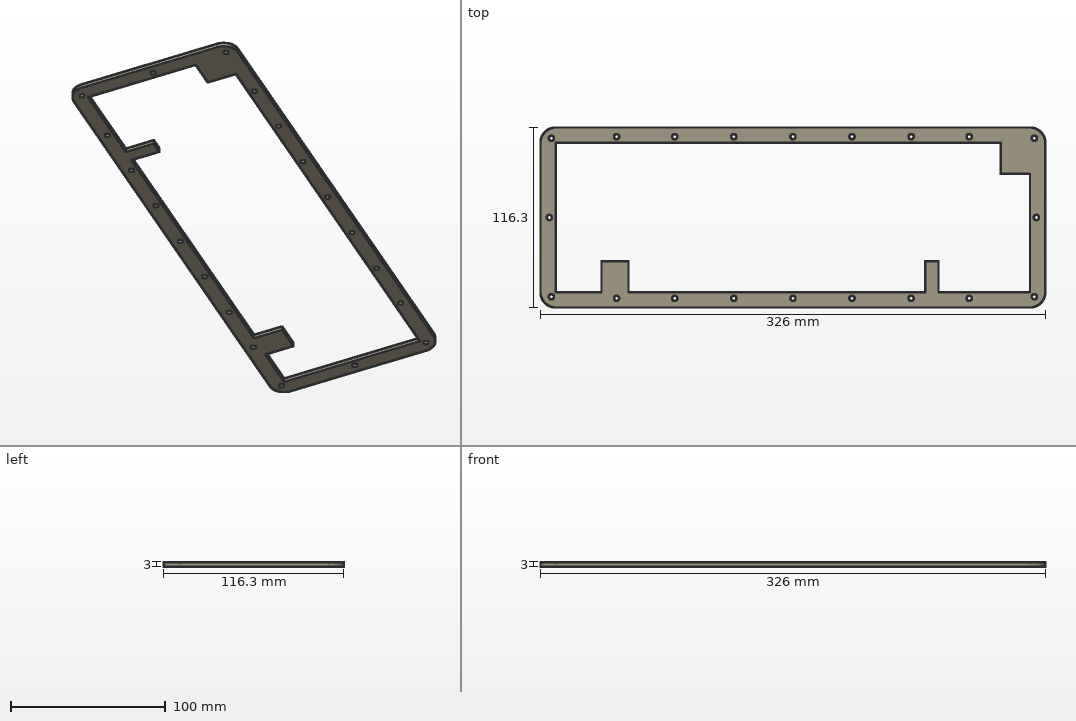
import cadquery as cq

length = 326.0
width = 116.3
thickness = 3.0
corner_radius = 10.0

rim = 10.0
window_length = length - 2 * rim
window_width = width - 2 * rim
tab_reach = 20.0
wide_tab_width = 17.5
wide_tab_x = -114.7
narrow_tab_width = 8.8
narrow_tab_x = 89.5
corner_pad_length = 19.0

hole_diameter = 3.3
long_side_hole_xs = (0.0, 38.0, 76.2, 113.7)
long_side_hole_y = 52.0
short_side_hole_x = 157.0
corner_hole_x = 155.8
corner_hole_y = 51.0


def block(x_min, y_min, x_size, y_size):
    """Full-thickness block placed by its lower-left corner."""
    return (
        cq.Workplane("XY")
        .box(x_size, y_size, thickness, centered=(False, False, True))
        .translate((x_min, y_min, 0))
    )


def frame():
    """Rounded plate with a sharp-cornered window."""
    plate = cq.Workplane("XY").box(length, width, thickness).edges("|Z").fillet(corner_radius)
    window = cq.Workplane("XY").box(window_length, window_width, thickness)
    return plate.cut(window)


def front_tab(center_x, tab_width):
    """Tab rising into the window; it overlaps the rim to join it."""
    overlap = rim / 2
    y_min = -window_width / 2 - overlap
    return block(center_x - tab_width / 2, y_min, tab_width, tab_reach + overlap)


def corner_pad():
    """Pad filling the +X +Y corner of the window, overlapping the rim."""
    overlap = rim / 2
    x_min = window_length / 2 - corner_pad_length
    y_min = window_width / 2 - tab_reach
    return block(x_min, y_min, corner_pad_length + overlap, tab_reach + overlap)


def hole_positions():
    """Hole centres along both long sides, at mid short sides and at the corners."""
    points = {(-short_side_hole_x, 0.0), (short_side_hole_x, 0.0)}
    for x_sign in (-1, 1):
        for y_sign in (-1, 1):
            points.add((x_sign * corner_hole_x, y_sign * corner_hole_y))
            for x in long_side_hole_xs:
                points.add((x_sign * x, y_sign * long_side_hole_y))
    return sorted(points)


body = (
    frame()
    .union(front_tab(wide_tab_x, wide_tab_width))
    .union(front_tab(narrow_tab_x, narrow_tab_width))
    .union(corner_pad())
)
holes = (
    cq.Workplane("XY")
    .pushPoints(hole_positions())
    .circle(hole_diameter / 2)
    .extrude(thickness / 2, both=True)
)
result = body.cut(holes)